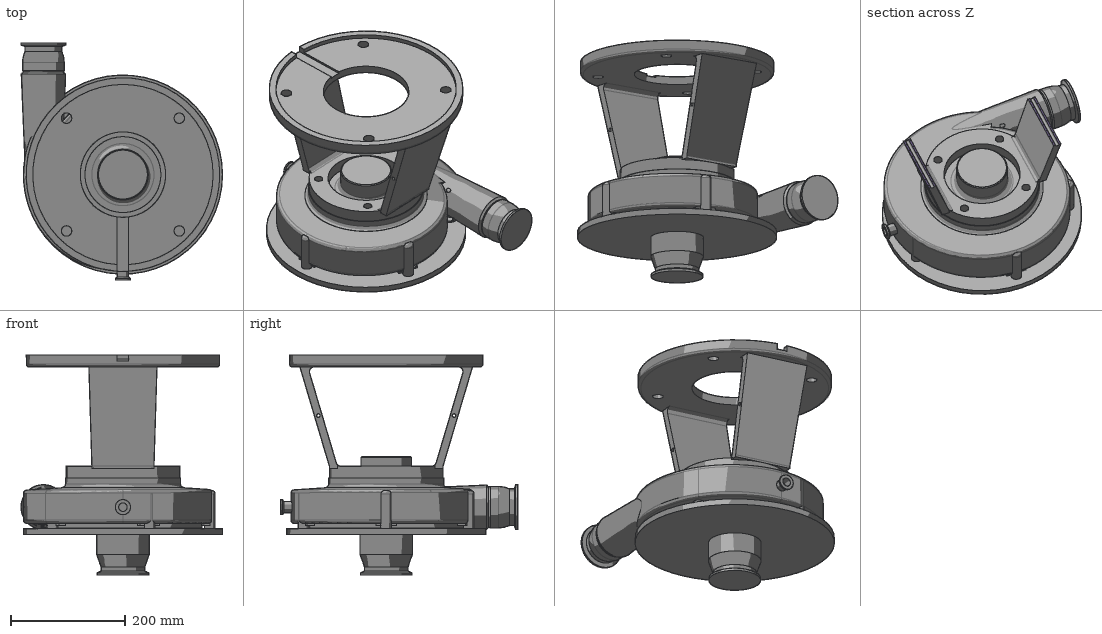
import cadquery as cq
import math


TOP_Z = 386.5
FLANGE_RADIUS = 169.7
FLANGE_THICKNESS = 21.2
FLANGE_EDGE_FILLET = 5.0
FLANGE_BORE_RADIUS = 75.0
RECESS_RADIUS = 158.0
RECESS_DEPTH = 7.0
FLANGE_HOLE_RADIUS = 9.0
FLANGE_HOLE_CIRCLE_RADIUS = 139.8
DRAIN_SLOT_WIDTH = 20.0
DRAIN_SLOT_DEPTH = 10.5

SEAM_Z = 170.5
RING_HEIGHT = 21.0
RING_RADIUS = 100.0
RING_BORE_RADIUS = 66.5
RING_HOLE_RADIUS = 7.0
RING_HOLE_CIRCLE_RADIUS = 83.0

LEG_OUTER_TOP_Y = 151.5
LEG_THICKNESS_Y = 14.0
LEG_HALF_WIDTH_TOP = 60.0
LEG_HALF_WIDTH_BOTTOM = 54.5
LEG_FOOT_DROP = 3.7
LEG_FILLET = 8.5
LEG_HOLE_RADIUS = 3.0
LEG_HOLE_Z = 280.0

CASING_BOTTOM_Z = 90.5
CASING_CROWN_Z = 154.0
CASING_SHOULDER_Z = 148.5
CROWN_EDGE_RADIUS = 183.0
CROWN_SEAM_ANGLE = 30
CASING_EDGE_FILLET = 6.0
SCROLL_RADIUS = 174.5
SCROLL_START_ANGLE = 150
SCROLL_ROUND_END_ANGLE = 219
SCROLL_ARC_ENDS = [(166.5, 270), (156.0, 360), (139.5, SCROLL_START_ANGLE)]
RIM_BAND_MARGIN = 1.5
HUB_RADIUS = 101.0
HUB_FILLET = 6.2

BOSS_RADIUS = 44.5
BOSS_TOP_Z = 208.0
BOSS_CHAMFER = 1.5
BOSS_FILLET = 10.0

PLATE_RADIUS = 174.7
PLATE_BOTTOM_Z = 71.0
PLATE_TOP_Z = 81.5
COVER_RADIUS = 139.0
COVER_NECK_RADIUS = 136.5
COVER_NECK_HEIGHT = 1.5
POST_COUNT = 5
POST_RADIUS = 9.5
POST_CIRCLE_RADIUS = 152.3
LUG_WIDTH = 36.5
LUG_THICKNESS = 3.5

INLET_RADIUS = 46.0
INLET_NECK_RADIUS = 38.3
INLET_REDUCER_TOP_Z = 36.5
INLET_REDUCER_BOTTOM_Z = 14.0
INLET_FERRULE_RADIUS = 45.5
INLET_FERRULE_THICKNESS = 4.0
INLET_FERRULE_TAPER = 3.5

NOZZLE_X = -139.5
NOZZLE_Z = 119.5
NOZZLE_START_Y = -33.3
NOZZLE_START_RADIUS = 30.5
NOZZLE_MOUTH_Y = 176.0
NOZZLE_MOUTH_RADIUS = 39.0
NOZZLE_MOUTH_CHAMFER = 3.7
DISCHARGE_RADIUS = 36.5
DISCHARGE_START_Y = 182.5
DISCHARGE_REDUCER_START_Y = 196.8
DISCHARGE_REDUCER_END_Y = 216.0
DISCHARGE_NECK_RADIUS = 32.5
DISCHARGE_FERRULE_RADIUS = 39.5
DISCHARGE_FERRULE_THICKNESS = 3.7
DISCHARGE_FERRULE_TAPER = 2.5
DISCHARGE_END_Y = 231.0

NIPPLE_RADIUS = 10.0
NIPPLE_BORE_RADIUS = 7.5
NIPPLE_INNER_Y = 149.8
NIPPLE_BORE_END_Y = 166.5
NIPPLE_END_Y = 185.0
NIPPLE_FERRULE_RADIUS = 13.5
NIPPLE_FERRULE_THICKNESS = 3.5
NIPPLE_FERRULE_TAPER = 2.5

FLANGE_BOTTOM_Z = TOP_Z - FLANGE_THICKNESS
RECESS_Z = TOP_Z - RECESS_DEPTH
RING_TOP_Z = SEAM_Z + RING_HEIGHT
LEG_FOOT_Z = RING_TOP_Z - LEG_FOOT_DROP


def cylinder(radius, bottom_z, top_z, x=0, y=0):
    """Upright cylinder between two heights."""
    return cq.Workplane("XY", origin=(x, y, bottom_z)).circle(radius).extrude(top_z - bottom_z)


def turned_along_y(outline, x, z):
    """Turn an outline of (distance, radius) coordinates about a line parallel to +Y."""
    return outline.close().revolve(360, (0, 0, 0), (1, 0, 0)).rotate((0, 0, 0), (0, 0, 1), 90).translate((x, 0, z))


def polar_point(radius, angle):
    """Point at a radius and an angle in degrees about the pump axis."""
    return (radius * math.cos(math.radians(angle)), radius * math.sin(math.radians(angle)))



def make_mounting_flange():
    flange = cylinder(FLANGE_RADIUS, FLANGE_BOTTOM_Z, TOP_Z).faces("<Z").edges().fillet(FLANGE_EDGE_FILLET)
    flange = flange.cut(cylinder(RECESS_RADIUS, RECESS_Z, TOP_Z))
    flange = flange.cut(cylinder(FLANGE_BORE_RADIUS, FLANGE_BOTTOM_Z, TOP_Z))
    for angle in range(45, 360, 90):
        hole_x, hole_y = polar_point(FLANGE_HOLE_CIRCLE_RADIUS, angle)
        flange = flange.cut(cylinder(FLANGE_HOLE_RADIUS, FLANGE_BOTTOM_Z, TOP_Z, hole_x, hole_y))
    drain_slot = cq.Workplane("XY", origin=(0, 0, TOP_Z - DRAIN_SLOT_DEPTH)).box(
        DRAIN_SLOT_WIDTH, FLANGE_RADIUS, DRAIN_SLOT_DEPTH, centered=(True, False, False)
    )
    return flange.cut(drain_slot.translate((0, -FLANGE_RADIUS, 0)))


def make_foot_ring():
    ring = cylinder(RING_RADIUS, SEAM_Z, RING_TOP_Z).cut(cylinder(RING_BORE_RADIUS, SEAM_Z, RING_TOP_Z))
    for angle in range(45, 360, 90):
        hole_x, hole_y = polar_point(RING_HOLE_CIRCLE_RADIUS, angle)
        ring = ring.cut(cylinder(RING_HOLE_RADIUS, SEAM_Z, RING_TOP_Z, hole_x, hole_y))
    return ring


def make_opening():
    """Space between the legs, with its four corners rounded."""
    bottom_y = RING_RADIUS - LEG_THICKNESS_Y
    top_y = LEG_OUTER_TOP_Y - LEG_THICKNESS_Y
    corners = [
        (-bottom_y, RING_TOP_Z),
        (bottom_y, RING_TOP_Z),
        (top_y, FLANGE_BOTTOM_Z),
        (-top_y, FLANGE_BOTTOM_Z),
    ]
    opening = cq.Workplane("YZ").polyline(corners).close().extrude(LEG_HALF_WIDTH_TOP, both=True)
    return opening.edges("|X").fillet(LEG_FILLET)


def make_legs():
    """Both sloping legs: a trapezoid seen along X, narrowing downward seen along Y."""
    side_outline = [
        (-RING_RADIUS, LEG_FOOT_Z),
        (RING_RADIUS, LEG_FOOT_Z),
        (RING_RADIUS, RING_TOP_Z),
        (LEG_OUTER_TOP_Y, FLANGE_BOTTOM_Z),
        (-LEG_OUTER_TOP_Y, FLANGE_BOTTOM_Z),
        (-RING_RADIUS, RING_TOP_Z),
    ]
    front_outline = [
        (-LEG_HALF_WIDTH_BOTTOM, LEG_FOOT_Z),
        (LEG_HALF_WIDTH_BOTTOM, LEG_FOOT_Z),
        (LEG_HALF_WIDTH_TOP, FLANGE_BOTTOM_Z),
        (-LEG_HALF_WIDTH_TOP, FLANGE_BOTTOM_Z),
    ]
    frame = cq.Workplane("YZ").polyline(side_outline).close().extrude(LEG_HALF_WIDTH_TOP, both=True)
    frame = frame.intersect(cq.Workplane("XZ").polyline(front_outline).close().extrude(LEG_OUTER_TOP_Y, both=True))
    foot_gap = cq.Workplane("XY", origin=(0, 0, LEG_FOOT_Z)).box(
        2 * LEG_HALF_WIDTH_TOP, 2 * (RING_RADIUS - LEG_THICKNESS_Y), LEG_FOOT_DROP, centered=(True, True, False)
    )
    legs = frame.cut(make_opening()).cut(foot_gap)

    slope = (LEG_OUTER_TOP_Y - RING_RADIUS) / (FLANGE_BOTTOM_Z - RING_TOP_Z)
    hole_y = RING_RADIUS + slope * (LEG_HOLE_Z - RING_TOP_Z) - LEG_THICKNESS_Y / 2
    holes = (
        cq.Workplane("YZ")
        .pushPoints([(-hole_y, LEG_HOLE_Z), (hole_y, LEG_HOLE_Z)])
        .circle(LEG_HOLE_RADIUS)
        .extrude(LEG_HALF_WIDTH_TOP, both=True)
    )
    return legs.cut(holes)


def make_lantern():
    return make_foot_ring().union(make_legs()).union(make_mounting_flange())



def round_rims(scroll):
    """Fillet the curved rims at the bottom and at the top of the scroll wall."""
    rim_band = cq.selectors.BoxSelector(
        (-CROWN_EDGE_RADIUS, -CROWN_EDGE_RADIUS, CASING_SHOULDER_Z),
        (CROWN_EDGE_RADIUS, CROWN_EDGE_RADIUS, CASING_CROWN_Z - RIM_BAND_MARGIN),
    )
    bottom_rim = scroll.faces("<Z").edges("not %LINE").vals()
    top_rim = scroll.edges("not %LINE").edges(rim_band).vals()
    return scroll.newObject(bottom_rim + top_rim).fillet(CASING_EDGE_FILLET)


def make_scroll():
    """Scroll of constant radius beside the nozzle, then shrinking round to the nozzle again."""
    round_middle = (SCROLL_START_ANGLE + SCROLL_ROUND_END_ANGLE) / 2
    outline = (
        cq.Workplane("XY", origin=(0, 0, CASING_BOTTOM_Z))
        .moveTo(*polar_point(SCROLL_RADIUS, SCROLL_START_ANGLE))
        .threePointArc(
            polar_point(SCROLL_RADIUS, round_middle), polar_point(SCROLL_RADIUS, SCROLL_ROUND_END_ANGLE)
        )
    )
    for radius, angle in SCROLL_ARC_ENDS:
        outline = outline.tangentArcPoint(polar_point(radius, angle), relative=False)
    scroll = outline.close().extrude(CASING_CROWN_Z - CASING_BOTTOM_Z)
    crown = (
        cq.Workplane("XZ")
        .moveTo(0, CASING_BOTTOM_Z)
        .lineTo(CROWN_EDGE_RADIUS, CASING_BOTTOM_Z)
        .lineTo(CROWN_EDGE_RADIUS, CASING_SHOULDER_Z)
        .lineTo(HUB_RADIUS, CASING_CROWN_Z)
        .lineTo(0, CASING_CROWN_Z)
        .close()
        .revolve()
        .rotate((0, 0, 0), (0, 0, 1), CROWN_SEAM_ANGLE)
    )
    return round_rims(scroll.intersect(crown))


def make_hub_and_boss():
    """Turned hub with a fillet at its foot, carrying the boss on its flat top."""
    return (
        cq.Workplane("XZ")
        .moveTo(0, CASING_BOTTOM_Z)
        .lineTo(HUB_RADIUS + HUB_FILLET, CASING_BOTTOM_Z)
        .lineTo(HUB_RADIUS + HUB_FILLET, CASING_CROWN_Z)
        .radiusArc((HUB_RADIUS, CASING_CROWN_Z + HUB_FILLET), HUB_FILLET)
        .lineTo(HUB_RADIUS, SEAM_Z)
        .lineTo(BOSS_RADIUS + BOSS_FILLET, SEAM_Z)
        .radiusArc((BOSS_RADIUS, SEAM_Z + BOSS_FILLET), BOSS_FILLET)
        .lineTo(BOSS_RADIUS, BOSS_TOP_Z - BOSS_CHAMFER)
        .lineTo(BOSS_RADIUS - BOSS_CHAMFER, BOSS_TOP_Z)
        .lineTo(0, BOSS_TOP_Z)
        .close()
        .revolve()
    )


def make_base():
    """Back plate, stepped cover, and the posts with their lugs."""
    neck_top_z = PLATE_TOP_Z + COVER_NECK_HEIGHT
    base = cylinder(PLATE_RADIUS, PLATE_BOTTOM_Z, PLATE_TOP_Z)
    base = base.union(cylinder(COVER_NECK_RADIUS, PLATE_TOP_Z, neck_top_z))
    base = base.union(cylinder(COVER_RADIUS, neck_top_z, CASING_BOTTOM_Z))
    lug = cq.Workplane("XY", origin=(0, 0, CASING_BOTTOM_Z - LUG_THICKNESS)).box(
        POST_CIRCLE_RADIUS, LUG_WIDTH, LUG_THICKNESS, centered=(False, True, False)
    )
    post = cylinder(POST_RADIUS, PLATE_TOP_Z, CASING_SHOULDER_Z, POST_CIRCLE_RADIUS)
    post = post.faces(">Z").edges().fillet(CASING_EDGE_FILLET)
    for index in range(POST_COUNT):
        angle = index * 360 / POST_COUNT
        base = base.union(lug.union(post).rotate((0, 0, 0), (0, 0, 1), angle))
    return base


def make_inlet():
    taper_z = INLET_FERRULE_THICKNESS + INLET_FERRULE_TAPER
    outline = [
        (0, 0),
        (INLET_FERRULE_RADIUS, 0),
        (INLET_FERRULE_RADIUS, INLET_FERRULE_THICKNESS),
        (INLET_NECK_RADIUS, taper_z),
        (INLET_NECK_RADIUS, INLET_REDUCER_BOTTOM_Z),
        (INLET_RADIUS, INLET_REDUCER_TOP_Z),
        (INLET_RADIUS, PLATE_BOTTOM_Z),
        (0, PLATE_BOTTOM_Z),
    ]
    return cq.Workplane("XZ").polyline(outline).close().revolve()


def make_discharge_nozzle():
    ferrule_y = DISCHARGE_END_Y - DISCHARGE_FERRULE_THICKNESS
    outline = (
        cq.Workplane("XY")
        .moveTo(NOZZLE_START_Y, 0)
        .lineTo(NOZZLE_START_Y, NOZZLE_START_RADIUS)
        .lineTo(NOZZLE_MOUTH_Y, NOZZLE_MOUTH_RADIUS)
        .lineTo(NOZZLE_MOUTH_Y + NOZZLE_MOUTH_CHAMFER, NOZZLE_MOUTH_RADIUS - NOZZLE_MOUTH_CHAMFER)
        .lineTo(DISCHARGE_START_Y, DISCHARGE_RADIUS)
        .lineTo(DISCHARGE_REDUCER_START_Y, DISCHARGE_RADIUS)
        .tangentArcPoint((DISCHARGE_REDUCER_END_Y, DISCHARGE_NECK_RADIUS), relative=False)
        .lineTo(ferrule_y - DISCHARGE_FERRULE_TAPER, DISCHARGE_NECK_RADIUS)
        .lineTo(ferrule_y, DISCHARGE_FERRULE_RADIUS)
        .lineTo(DISCHARGE_END_Y, DISCHARGE_FERRULE_RADIUS)
        .lineTo(DISCHARGE_END_Y, 0)
    )
    return turned_along_y(outline, NOZZLE_X, NOZZLE_Z)


def make_nipple():
    ferrule_y = NIPPLE_END_Y - NIPPLE_FERRULE_THICKNESS
    outline = cq.Workplane("XY").polyline([
        (-NIPPLE_INNER_Y, 0),
        (-NIPPLE_INNER_Y, NIPPLE_RADIUS),
        (-ferrule_y + NIPPLE_FERRULE_TAPER, NIPPLE_RADIUS),
        (-ferrule_y, NIPPLE_FERRULE_RADIUS),
        (-NIPPLE_END_Y, NIPPLE_FERRULE_RADIUS),
        (-NIPPLE_END_Y, 0),
    ])
    return turned_along_y(outline, 0, NOZZLE_Z)


def make_nipple_bore():
    bore = cq.Workplane("XZ", origin=(0, -NIPPLE_BORE_END_Y, NOZZLE_Z)).circle(NIPPLE_BORE_RADIUS)
    return bore.extrude(NIPPLE_END_Y - NIPPLE_BORE_END_Y)


def make_pump_casing():
    casing = make_scroll().union(make_hub_and_boss()).union(make_base())
    casing = casing.union(make_inlet()).union(make_discharge_nozzle())
    return casing.union(make_nipple()).cut(make_nipple_bore())


lantern = make_lantern()
pump_casing = make_pump_casing()

result = cq.Compound.makeCompound([lantern.val(), pump_casing.val()])